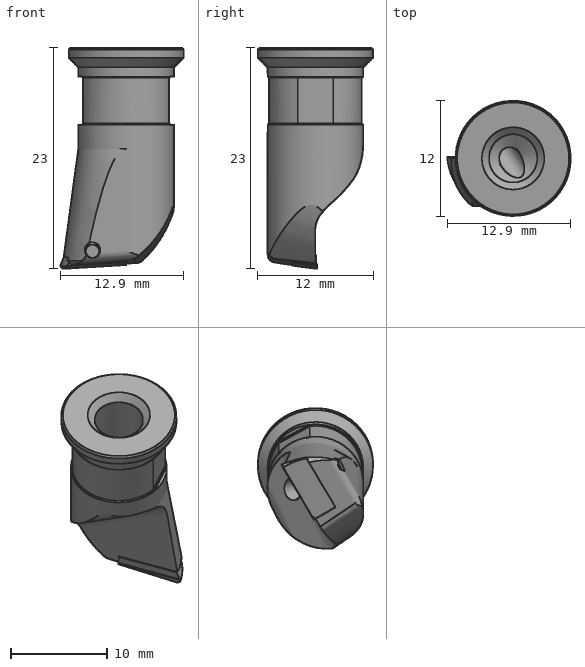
import cadquery as cq
import math

TOP_Z = 23.0
FLANGE_R = 6.0
FLANGE_EDGE_CHAMFER = 0.18
FLANGE_RIM_Z = 22.0
SHANK_R = 5.0
FLANGE_UNDER_Z = FLANGE_RIM_Z - (FLANGE_R - SHANK_R)
COLLAR_BOTTOM_Z = 20.02
SHOULDER_Z = 15.0
NECK_R = 4.85
NECK_CHAMFER = SHANK_R - NECK_R
FLAT_X = 4.49
FLAT_RAMP = 0.14

BORE_R = 2.5
BORE_MOUTH_R = 3.25
BORE_BOTTOM_Z = 14.27
DRILL_POINT_ANGLE = 118.0
COOLANT_R = 1.17
COOLANT_OUTLET = cq.Vector(-1.63, 1.8, 10.55)
COOLANT_INLET = cq.Vector(-0.15, -0.3, 13.58)
COOLANT_OVERRUN = 0.45

FLARE_TOP_Z = 12.5
FLARE_FOOT_R = 6.55
BLADE_CHAMFER_Z = 0.83
FACE_Y = 0.0
RELIEF = 0.11
FOOT_SLOPE = 0.07
FOOT_Z = 0.53
FOOT_ROUND_R = 0.87
HEEL_START_X = 1.01
HEEL_CORNER_MID = (1.45, 0.7)
HEEL_CORNER_END = (1.77, 0.97)
HEEL_MID = (3.5, 2.97)
HEEL_END = (5.0, 6.55)
HEEL_SIDE_RELIEF = 0.07

CLEAR_TILT = 30.0
CLEAR_SLOPE = 30.0
CLEAR_TOP_Z = 13.12
CLEAR_OUTER_R = 2.0
CLEAR_INNER_R = 3.0

INSERT_FRONT_Y = 0.1
LIP_Y = 0.18
LIP_Z = 0.5
INSERT_BACK_Y = -2.4
INSERT_END_X = 0.0
INSERT_TOP_Z = 1.43
INSERT_FOOT_SLOPE = 0.06
INSERT_RELIEF = 0.12
INSERT_TIP_X = -6.55
FLANK_CENTRE = (-0.41, 0.7)
FLANK_TIP_X = -6.88
FLANK_WIDE_Z = 0.3
FLANK_TOP_Z = 1.6
FLANK_SLOPE = 0.4

PIN_R = 0.8
PIN_X = -3.5
PIN_Z = 1.95
PIN_SHOULDER_Y = -4.65
PIN_LENGTH = 1.38
PIN_FACE_R = 0.7
PIN_FACE_Y = -4.76
PIN_FACE_Z = PIN_Z - (PIN_R - PIN_FACE_R)

FAR = 13.8


def skew_prism(wire, start, direction):
    """Prism of a closed wire, moved by start and swept along any direction."""
    return cq.Workplane(obj=cq.Solid.extrudeLinear(wire.translate(start), [], direction))


def turned(points):
    """Solid turned about Z from an outline of (radius, height) points."""
    return cq.Workplane("XZ").polyline(points).close().revolve(360, (0, 0, 0), (0, 1, 0))


def head():
    return turned([
        (0, TOP_Z),
        (FLANGE_R - FLANGE_EDGE_CHAMFER, TOP_Z),
        (FLANGE_R, TOP_Z - FLANGE_EDGE_CHAMFER),
        (FLANGE_R, FLANGE_RIM_Z),
        (SHANK_R, FLANGE_UNDER_Z),
        (SHANK_R, COLLAR_BOTTOM_Z),
        (NECK_R, COLLAR_BOTTOM_Z - NECK_CHAMFER),
        (NECK_R, SHOULDER_Z + NECK_CHAMFER),
        (SHANK_R, SHOULDER_Z),
        (SHANK_R, FLARE_TOP_Z),
        (0, FLARE_TOP_Z),
    ])


def flat_cut(side):
    """Cut for one drive flat; side is +1 or -1 along X."""
    ramp_x = FLAT_X + FLAT_RAMP
    outline = [
        (FLAT_X, SHOULDER_Z + FLAT_RAMP),
        (ramp_x, SHOULDER_Z),
        (FLANGE_R, SHOULDER_Z),
        (FLANGE_R, COLLAR_BOTTOM_Z),
        (ramp_x, COLLAR_BOTTOM_Z),
        (FLAT_X, COLLAR_BOTTOM_Z - FLAT_RAMP),
    ]
    points = [(side * x, z) for x, z in outline]
    return cq.Workplane("XZ").polyline(points).close().extrude(FLANGE_R, both=True)


def bore():
    point_depth = BORE_R / math.tan(math.radians(DRILL_POINT_ANGLE / 2))
    return turned([
        (0, TOP_Z),
        (BORE_MOUTH_R, TOP_Z),
        (BORE_R, TOP_Z - (BORE_MOUTH_R - BORE_R)),
        (BORE_R, BORE_BOTTOM_Z),
        (0, BORE_BOTTOM_Z - point_depth),
    ])


def coolant_hole():
    axis = COOLANT_INLET - COOLANT_OUTLET
    length = axis.Length * (1 + 2 * COOLANT_OVERRUN)
    start = COOLANT_OUTLET - axis * COOLANT_OVERRUN
    return cq.Workplane(obj=cq.Solid.makeCylinder(COOLANT_R, length, start, axis))


def foot_z(x, y):
    """Height of the sloping foot of the blade."""
    return FOOT_Z + FOOT_SLOPE * x - RELIEF * y


def flare():
    """Flared cone on the -X half, cut flat where it would pass the back of the shank."""
    cone = turned([
        (0, FLARE_TOP_Z),
        (SHANK_R, FLARE_TOP_Z),
        (FLARE_FOOT_R, BLADE_CHAMFER_Z),
        (FLARE_FOOT_R - BLADE_CHAMFER_Z, 0),
        (0, 0),
    ])
    half = cq.Workplane("XY").box(FAR, FAR, FLARE_TOP_Z, centered=False).translate((-FAR, -SHANK_R, 0))
    return cone.intersect(half)


def foot_envelope():
    """Space above the sloping foot, with its back edge rounded."""
    back_z = foot_z(-FAR, -SHANK_R)
    wire = (
        cq.Workplane("YZ")
        .polyline([(-SHANK_R, FAR), (-SHANK_R, back_z), (FAR, foot_z(-FAR, FAR)), (FAR, FAR)])
        .close()
        .val()
    )
    prism = skew_prism(wire, cq.Vector(-FAR, 0, 0), cq.Vector(2 * FAR, 0, 2 * FAR * FOOT_SLOPE))
    back_edge = cq.selectors.NearestToPointSelector((0, -SHANK_R, foot_z(0, -SHANK_R)))
    return prism.edges(back_edge).fillet(FOOT_ROUND_R)


def heel_envelope():
    """Space inside the heel arc, which rises with the relief towards -Y."""
    wire = (
        cq.Workplane("XZ")
        .moveTo(-FAR, -FAR)
        .lineTo(HEEL_START_X, -FAR)
        .lineTo(HEEL_START_X, foot_z(HEEL_START_X, 0))
        .threePointArc(HEEL_CORNER_MID, HEEL_CORNER_END)
        .threePointArc(HEEL_MID, HEEL_END)
        .lineTo(FAR / 2, FAR)
        .lineTo(-FAR, FAR)
        .close()
        .val()
    )
    direction = cq.Vector(-HEEL_SIDE_RELIEF, -1, RELIEF)
    return skew_prism(wire, direction * -FAR, direction * (2 * FAR))


def clearance_cut():
    """Cut that leaves the blade face and sweeps up to the +Y side, drawn square to the cut direction."""
    slope = math.radians(CLEAR_SLOPE)
    turn = math.pi / 2 - slope
    plane_normal = (math.cos(math.radians(CLEAR_TILT)), 0, -math.sin(math.radians(CLEAR_TILT)))
    plane = cq.Plane(origin=(0, 0, CLEAR_TOP_Z), xDir=(0, 1, 0), normal=plane_normal)

    def on_arc(centre, radius, angle):
        return (centre[0] + radius * math.cos(angle), centre[1] + radius * math.sin(angle))

    outer_centre = (SHANK_R - CLEAR_OUTER_R, 0)
    line_top = on_arc(outer_centre, CLEAR_OUTER_R, -turn)
    inner_y = FACE_Y + CLEAR_INNER_R * (1 - math.cos(turn))
    line_bottom = (inner_y, line_top[1] - (line_top[0] - inner_y) * math.tan(slope))
    inner_centre = (FACE_Y + CLEAR_INNER_R, line_bottom[1] - CLEAR_INNER_R * math.sin(turn))
    return (
        cq.Workplane(plane)
        .moveTo(SHANK_R, 0)
        .threePointArc(on_arc(outer_centre, CLEAR_OUTER_R, -turn / 2), line_top)
        .lineTo(*line_bottom)
        .threePointArc(on_arc(inner_centre, CLEAR_INNER_R, math.pi - turn / 2), (FACE_Y, inner_centre[1]))
        .lineTo(FACE_Y, -2 * FAR)
        .lineTo(FAR, -2 * FAR)
        .lineTo(FAR, 0)
        .close()
        .extrude(FAR, both=True)
    )


def insert_block():
    """Block of the insert between its sloping seat above and its relieved foot below."""

    def side(y):
        tip_z = -INSERT_RELIEF * (y - LIP_Y)
        end_z = tip_z + INSERT_FOOT_SLOPE * (INSERT_END_X - INSERT_TIP_X)
        far_z = tip_z + INSERT_FOOT_SLOPE * (-FAR - INSERT_TIP_X)
        top_z = INSERT_TOP_Z + INSERT_RELIEF * y
        return cq.Wire.makePolygon([
            cq.Vector(-FAR, y, far_z),
            cq.Vector(INSERT_END_X, y, end_z),
            cq.Vector(INSERT_END_X, y, top_z),
            cq.Vector(-FAR, y, top_z),
        ], close=True)

    return cq.Workplane(obj=cq.Solid.makeLoft([side(INSERT_BACK_Y), side(LIP_Y)], True))


def cutting_insert():
    cx, cy = FLANK_CENTRE
    wide_r = math.hypot(FLANK_TIP_X - cx, LIP_Y - cy)
    narrow_r = wide_r - FLANK_SLOPE * (FLANK_TOP_Z - FLANK_WIDE_Z)
    flank = turned([
        (0, 0),
        (wide_r - FLANK_WIDE_Z, 0),
        (wide_r, FLANK_WIDE_Z),
        (narrow_r, FLANK_TOP_Z),
        (0, FLANK_TOP_Z),
    ]).translate((cx, cy, 0))
    above_lip = (
        cq.Workplane("XY")
        .box(2 * FAR, FAR, FAR, centered=(True, False, False))
        .translate((0, INSERT_FRONT_Y, LIP_Z))
    )
    return insert_block().intersect(flank).cut(above_lip)


def insert_pocket():
    below = cq.Workplane("XY").box(FAR, LIP_Y - INSERT_BACK_Y, FAR, centered=False)
    below = below.translate((INSERT_END_X - FAR, INSERT_BACK_Y, LIP_Z - FAR))
    return insert_block().union(below)


def pin_hole():
    """Round hole that runs from the inner end of the pin out through the back of the shank."""
    hole = cq.Workplane("XZ", origin=(PIN_X, PIN_SHOULDER_Y + PIN_LENGTH, PIN_Z))
    return hole.circle(PIN_R).extrude(2 * PIN_LENGTH)


def pin():
    shaft = cq.Workplane("XZ", origin=(PIN_X, PIN_SHOULDER_Y, PIN_Z)).circle(PIN_R).extrude(-PIN_LENGTH)
    outward = cq.Vector(0, -1, 0)
    shoulder = cq.Wire.makeCircle(PIN_R, cq.Vector(PIN_X, PIN_SHOULDER_Y, PIN_Z), outward)
    face = cq.Wire.makeCircle(PIN_FACE_R, cq.Vector(PIN_X, PIN_FACE_Y, PIN_FACE_Z), outward)
    return shaft.union(cq.Workplane(obj=cq.Solid.makeLoft([shoulder, face], True)))


def holder():
    blade = cq.Workplane("XY").circle(SHANK_R).extrude(FLARE_TOP_Z).union(flare())
    blade = blade.intersect(foot_envelope()).intersect(heel_envelope())
    body = head().union(blade)
    for side in (-1, 1):
        body = body.cut(flat_cut(side))
    body = body.cut(clearance_cut()).cut(bore()).cut(coolant_hole())
    return body.cut(insert_pocket()).cut(pin_hole())


result = cq.Compound.makeCompound([holder().val(), cutting_insert().val(), pin().val()])